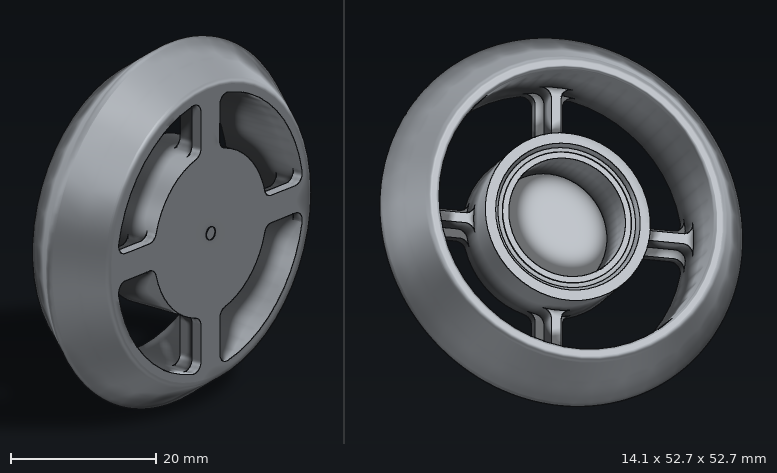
import cadquery as cq
import math

rim_radius = 26.35
rim_width = 14.0
rim_bore_radius = 20.0
tread_angle = 35.0
tread_round = 1.0
bore_edge_round = 0.5

hub_radius = 12.0
hub_length = 9.85
hub_bore_radius = 10.0
mouth_chamfer = 0.5
mouth_angle = 45
end_wall = 1.55

spoke_axes = 2
flange_width = 4.0
flange_thickness = 1.65
rib_width = 1.4
spoke_depth = 4.85
spoke_end_round = 1.5

boss_radius = 0.95
boss_height = 0.1

bush_bore_radius = 8.5
collar_radius = 9.4
collar_height = 0.15

rim_front = -rim_width / 2
rim_back = rim_width / 2
hub_front = rim_back - hub_length
hub_floor = rim_back - end_wall
bush_front = hub_front + mouth_chamfer
flange_front = rim_back - flange_thickness
rib_front = rim_back - spoke_depth


def disc(radius, x_start, x_end):
    """Cylinder around the X axis between two X positions."""
    return cq.Workplane("YZ", origin=(x_start, 0, 0)).circle(radius).extrude(x_end - x_start)


def make_rim():
    """V-shaped disc with rounded edges, bored through."""
    angle = math.radians(tread_angle)
    sharp_radius = rim_radius + tread_round * (1 / math.cos(angle) - 1)
    side_radius = sharp_radius - math.tan(angle) * rim_width / 2
    profile = [
        (rim_front, 0),
        (rim_front, side_radius),
        (0, sharp_radius),
        (rim_back, side_radius),
        (rim_back, 0),
    ]
    rim = cq.Workplane("XY").polyline(profile).close().revolve(360, (0, 0, 0), (1, 0, 0))
    rim = rim.edges("%CIRCLE").fillet(tread_round)
    rim = rim.cut(disc(rim_bore_radius, rim_front, rim_back))
    return rim.faces("<X").edges(cq.selectors.RadiusNthSelector(0)).fillet(bore_edge_round)


def make_spoke_layer(width, x_start):
    """Web filling the rim bore back to its +X side, with rounded openings between the spokes."""
    depth = rim_back - x_start
    openings = disc(rim_bore_radius, x_start, rim_back).cut(disc(hub_radius, x_start, rim_back))
    for i in range(spoke_axes):
        bar = cq.Workplane("XY").box(depth, 2 * rim_radius, width)
        bar = bar.translate((x_start + depth / 2, 0, 0))
        openings = openings.cut(bar.rotate((0, 0, 0), (1, 0, 0), i * 180 / spoke_axes))
    openings = openings.edges("|X").fillet(spoke_end_round)
    return disc(rim_bore_radius, x_start, rim_back).cut(openings)


def make_wheel():
    """Rim, spokes and hub in one piece."""
    wheel = make_rim()
    wheel = wheel.union(make_spoke_layer(flange_width, flange_front))
    wheel = wheel.union(make_spoke_layer(rib_width, rib_front))
    wheel = wheel.union(disc(hub_radius, hub_front, rim_back))
    wheel = wheel.union(disc(boss_radius, rim_back, rim_back + boss_height))

    wheel = wheel.cut(disc(hub_bore_radius, hub_front, hub_floor))
    mouth = cq.Workplane("YZ", origin=(hub_front, 0, 0)).circle(hub_bore_radius + mouth_chamfer)
    return wheel.cut(mouth.extrude(mouth_chamfer, taper=mouth_angle))


def make_bush():
    """Sleeve that rests on the hub floor and ends where the mouth chamfer begins."""
    bush = disc(hub_bore_radius, bush_front, hub_floor)
    bush = bush.union(disc(collar_radius, bush_front - collar_height, bush_front))
    return bush.cut(disc(bush_bore_radius, bush_front - collar_height, hub_floor))


wheel = make_wheel()
bush = make_bush()

result = cq.Compound.makeCompound([wheel.solids().val(), bush.solids().val()])